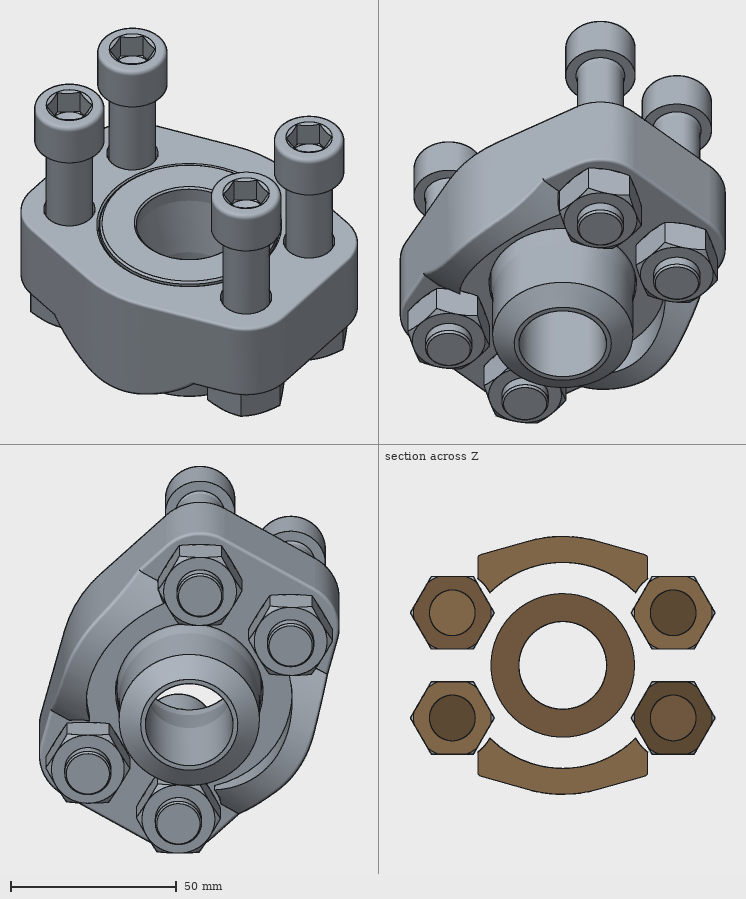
import cadquery as cq
import math

overall_height = 96.5
flange_top = 54.5
flange_bottom = 27.5
lobe_bottom = 16.5
nipple_top = 55.3
shoulder_level = 41.3
collar_bottom = 26.9
pipe_top = 21.9
bolt_end = 12.5

bolt_spacing_x = 66.7
bolt_spacing_y = 31.75
bolt_x = bolt_spacing_x / 2
bolt_y = bolt_spacing_y / 2
bolt_points = [(sx * bolt_x, sy * bolt_y) for sx in (-1, 1) for sy in (-1, 1)]

flange_length = 96.0
crown_radius = 39.0
corner_radius = flange_length / 2 - bolt_x
lobe_radius = 36.7
edge_fillet = 1.0
recess_radius = 31.1
clearance_diameter = 15.4
nut_seat_diameter = 25.7
socket_bore_diameter = 54.7
socket_bore_chamfer = 0.6
through_bore_diameter = 44.5

head_diameter = 54.0
head_chamfer = 0.7
collar_diameter = 43.5
pipe_diameter = 42.4
weld_bevel_height = 4.1
weld_face_diameter = 29.3
pipe_bore_diameter = 26.4
mouth_diameter = 32.0
mouth_chamfer = 0.6
mouth_depth = 5.3
taper_length = 18.3

shank_diameter = 14.0
shank_chamfer = 0.8
screw_tip_diameter = 13.0
screw_head_diameter = 21.0
screw_head_height = 14.0
screw_head_fillet = 1.5
neck_diameter = 14.8
neck_height = 1.35
hex_width = 11.9
hex_depth = 8.0
hex_turn = 39.0
hex_mouth_diameter = 14.0
hex_mouth_angle = 120.0
drill_point_angle = 120.0

nut_width = 22.0
nut_height = flange_bottom - lobe_bottom
nut_chamfer_angle = 30.0


def polar(center, radius, degrees):
    """Point at a given radius and direction from a center."""
    angle = math.radians(degrees)
    return center[0] + radius * math.cos(angle), center[1] + radius * math.sin(angle)


def cylinder(diameter, bottom, top):
    return cq.Workplane("XY").workplane(offset=bottom).circle(diameter / 2).extrude(top - bottom)


def revolved(profile):
    """Turn a closed (radius, height) profile about the Z axis."""
    return cq.Workplane("XZ").polyline(profile).close().revolve(360, (0, 0), (0, 1))


def cylinders_at_bolts(diameter, bottom, top):
    return (
        cq.Workplane("XY")
        .workplane(offset=bottom)
        .pushPoints(bolt_points)
        .circle(diameter / 2)
        .extrude(top - bottom)
    )


def corner_distance(hexagon_width):
    """Distance across the corners of a hexagon with a given width across flats."""
    return hexagon_width / math.cos(math.pi / 6)


def cone_height(radius_change, point_angle):
    """Height over which a cone with a given full point angle changes its radius."""
    return radius_change / math.tan(math.radians(point_angle / 2))


def flange_outline():
    """Two crowns on the flange axis and four corners on the bolt axes, joined by tangents."""
    bolt_distance = math.hypot(bolt_x, bolt_y)
    bolt_direction = math.degrees(math.atan2(bolt_y, bolt_x))
    tangent = bolt_direction + math.degrees(math.acos((crown_radius - corner_radius) / bolt_distance))
    corner = (bolt_x, bolt_y)
    crown_x, crown_y = polar((0, 0), crown_radius, tangent)
    shoulder_x, shoulder_y = polar(corner, corner_radius, tangent)
    middle_x, middle_y = polar(corner, corner_radius, tangent / 2)
    side_x = flange_length / 2
    return (
        cq.Workplane("XY")
        .workplane(offset=lobe_bottom)
        .moveTo(side_x, -bolt_y)
        .lineTo(side_x, bolt_y)
        .threePointArc((middle_x, middle_y), (shoulder_x, shoulder_y))
        .lineTo(crown_x, crown_y)
        .threePointArc((0, crown_radius), (-crown_x, crown_y))
        .lineTo(-shoulder_x, shoulder_y)
        .threePointArc((-middle_x, middle_y), (-side_x, bolt_y))
        .lineTo(-side_x, -bolt_y)
        .threePointArc((-middle_x, -middle_y), (-shoulder_x, -shoulder_y))
        .lineTo(-crown_x, -crown_y)
        .threePointArc((0, -crown_radius), (crown_x, -crown_y))
        .lineTo(shoulder_x, -shoulder_y)
        .threePointArc((middle_x, -middle_y), (side_x, -bolt_y))
        .close()
    )


def flange_side_profile():
    """Slab with a round lobe hanging below its middle, as a bar along Y."""
    sagitta = flange_bottom - lobe_bottom
    lobe_half_width = math.sqrt(2 * lobe_radius * sagitta - sagitta**2)
    return (
        cq.Workplane("XZ")
        .moveTo(-flange_length, flange_top)
        .lineTo(-flange_length, flange_bottom)
        .lineTo(-lobe_half_width, flange_bottom)
        .threePointArc((0, lobe_bottom), (lobe_half_width, flange_bottom))
        .lineTo(flange_length, flange_bottom)
        .lineTo(flange_length, flange_top)
        .close()
        .extrude(flange_length, both=True)
    )


def make_flange():
    """Flange with a stepped bore for the nipple and clearance under it for the nipple and the nuts."""
    body = flange_outline().extrude(flange_top - lobe_bottom).intersect(flange_side_profile())
    body = body.edges("(not (|Y or |Z)) or ((>X or <X) and |Y)").fillet(edge_fillet)
    recess = cylinder(2 * recess_radius, lobe_bottom, flange_bottom)
    bore_mouth = revolved(
        [
            (0, flange_top - socket_bore_chamfer),
            (socket_bore_diameter / 2, flange_top - socket_bore_chamfer),
            (socket_bore_diameter / 2 + socket_bore_chamfer, flange_top),
            (0, flange_top),
        ]
    )
    bolt_holes = cylinders_at_bolts(clearance_diameter, flange_bottom, flange_top)
    nut_seats = cylinders_at_bolts(nut_seat_diameter, lobe_bottom, flange_bottom)
    return (
        body.cut(recess)
        .cut(cylinder(through_bore_diameter, flange_bottom, shoulder_level))
        .cut(cylinder(socket_bore_diameter, shoulder_level, flange_top))
        .cut(bore_mouth)
        .cut(bolt_holes)
        .cut(nut_seats)
    )


def make_nipple():
    """Weld nipple whose head rests on the shoulder of the flange bore."""
    taper_top = nipple_top - mouth_depth
    return revolved(
        [
            (pipe_bore_diameter / 2, 0),
            (weld_face_diameter / 2, 0),
            (pipe_diameter / 2, weld_bevel_height),
            (pipe_diameter / 2, pipe_top),
            (collar_diameter / 2, collar_bottom),
            (collar_diameter / 2, shoulder_level),
            (head_diameter / 2, shoulder_level),
            (head_diameter / 2, nipple_top - head_chamfer),
            (head_diameter / 2 - head_chamfer, nipple_top),
            (mouth_diameter / 2 + mouth_chamfer, nipple_top),
            (mouth_diameter / 2, nipple_top - mouth_chamfer),
            (mouth_diameter / 2, taper_top),
            (pipe_bore_diameter / 2, taper_top - taper_length),
        ]
    )


def hex_socket():
    """Hexagon hole with a countersunk mouth and a conical floor, cut into a screw head on the Z axis."""
    floor = overall_height - hex_depth
    drill_point = cone_height(hex_width / 2, drill_point_angle)
    countersink = cone_height((hex_mouth_diameter - hex_width) / 2, hex_mouth_angle)
    hexagon = (
        cq.Workplane("XY")
        .workplane(offset=floor)
        .transformed(rotate=(0, 0, hex_turn))
        .polygon(6, corner_distance(hex_width))
        .extrude(hex_depth)
    )
    cones = revolved(
        [
            (0, floor - drill_point),
            (hex_width / 2, floor),
            (hex_width / 2, overall_height - countersink),
            (hex_mouth_diameter / 2, overall_height),
            (0, overall_height),
        ]
    )
    return hexagon.union(cones)


def make_screw(place):
    """Socket head cap screw standing at a bolt point, its head above the flange."""
    head_bottom = overall_height - screw_head_height
    shank_radius = shank_diameter / 2
    shank = revolved(
        [
            (0, bolt_end),
            (screw_tip_diameter / 2, bolt_end),
            (shank_radius, bolt_end + shank_chamfer),
            (shank_radius, head_bottom - neck_height),
            (neck_diameter / 2, head_bottom),
            (0, head_bottom),
        ]
    )
    head = cylinder(screw_head_diameter, head_bottom, overall_height)
    head = head.faces(">Z").edges().fillet(screw_head_fillet)
    return head.union(shank).cut(hex_socket()).translate((*place, 0))


def make_nut(place):
    """Nut under the flange with two corners along X, its corners bevelled by a cone at both ends."""
    outer_radius = corner_distance(nut_width) / 2
    bevel = (outer_radius - nut_width / 2) * math.tan(math.radians(nut_chamfer_angle))
    hexagon = (
        cq.Workplane("XY")
        .workplane(offset=lobe_bottom)
        .polygon(6, corner_distance(nut_width))
        .extrude(nut_height)
    )
    envelope = revolved(
        [
            (0, lobe_bottom),
            (nut_width / 2, lobe_bottom),
            (outer_radius, lobe_bottom + bevel),
            (outer_radius, flange_bottom - bevel),
            (nut_width / 2, flange_bottom),
            (0, flange_bottom),
        ]
    )
    nut = hexagon.intersect(envelope).cut(cylinder(shank_diameter, lobe_bottom, flange_bottom))
    return nut.translate((*place, 0))


flange = make_flange()
nipple = make_nipple()
screws = [make_screw(place).val() for place in bolt_points]
nuts = [make_nut(place).val() for place in bolt_points]

result = cq.Compound.makeCompound([flange.val(), nipple.val(), *screws, *nuts])